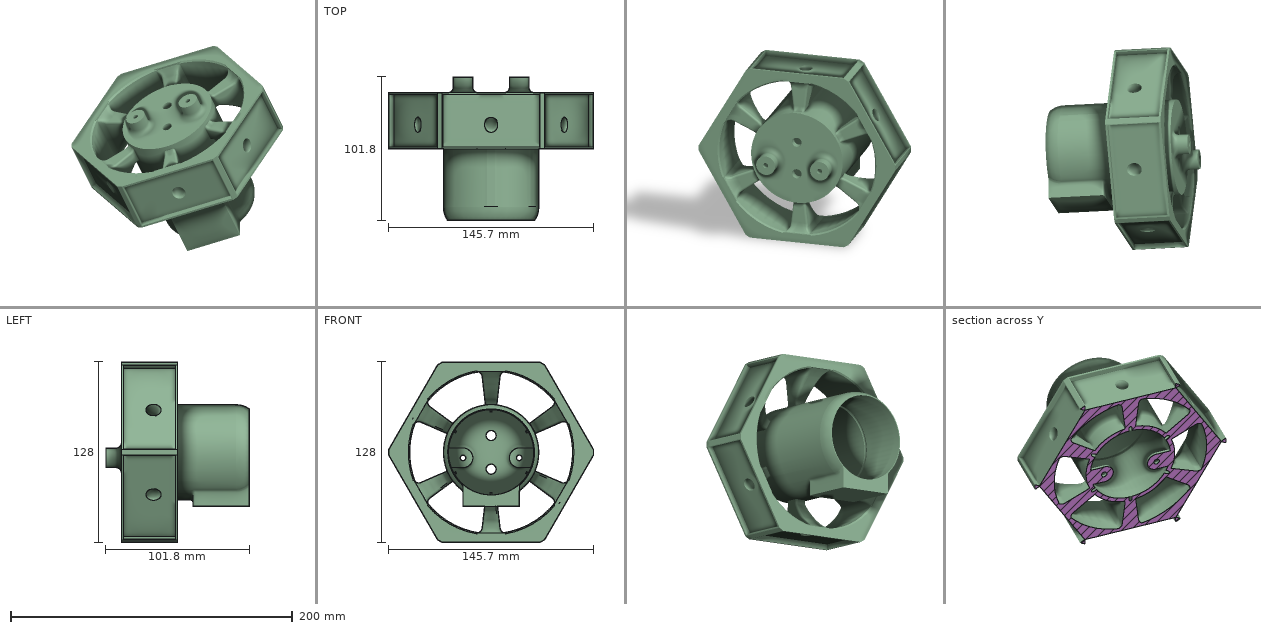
import cadquery as cq
import math


ARMS = 6
RING_FLATS = 128.0
RING_CORNERS = 145.7
RING_DEPTH = 40.0
RING_BORE_RADIUS = 57.8
BORE_CHAMFER = 1.0

RECESS_LENGTH = 68.5
RECESS_MARGIN = 1.5
RECESS_DEPTH = 4.0

BARREL_RADIUS = 34.0
BARREL_LENGTH = 90.9
CUP_RADIUS = 30.3
FLOOR_THICKNESS = 5.0
MOUTH_RADIUS = 30.9
MOUTH_LENGTH = 9.3
GROOVE_START = 50.3
GROOVE_WIDTH = 2.6
GROOVE_DEPTH = 1.7
FLOOR_HOLE_DIAMETER = 7.0
FLOOR_HOLE_OFFSET = 12.0

STRIP_COUNT = 2
STRIP_HALF_WIDTH_TOP = 2.9
STRIP_HALF_WIDTH_BASE = 4.7
STRIP_TOP = 34.1
STRIP_BOTTOM = 32.0
STRIP_END_GAP = 0.6

STRUT_ROOT = 33.2
STRUT_TIP = 57.4
STRUT_EDGE_RADIUS = 1.5
STRUT_PAD_THICKNESS = 2.2
STRUT_HUB_HALF_WIDTH = 4.1
STRUT_RIM_HALF_WIDTH = 6.4
STRUT_FLARE_HALF_WIDTH = 10.2
STRUT_FLARE_START = 53.6
STRUT_FLARE_BULGE_X = 1.09
STRUT_FLARE_BULGE_Z = 2.55
STRUT_RIM_MARGIN = 1.5
STRUT_BACK = -5.2
STRUT_BACK_ROOT_Y = -2.6
STRUT_BACK_MIDDLE = (-4.5, 35.0)
STRUT_BACK_INNER = (STRUT_BACK, 37.6)
STRUT_BACK_OUTER = (STRUT_BACK, 51.0)
STRUT_FRONT_MIDDLE = (-22.6, 45.9)
STRUT_FRONT_INNER = (-16.0, 37.9)
STRUT_FRONT_ROOT_Y = -21.9

DUCT_MOUTH_RADIUS = 4.7
DUCT_TIP_RADIUS = 0.7
DUCT_MOUTH_Y = -22.6
DUCT_TIP_OFFSET = 28.7

PIN_DIAMETER = 14.0
PIN_HOLE_DIAMETER = 3.8
PIN_LENGTH = 10.9
PIN_X = 20.0
PIN_Z = -4.0
PIN_FILLET = 3.6
PAD_HEIGHT = 2.9
PAD_FILLET = 2.2

FOOT_WIDTH = 40.2
FOOT_LENGTH = 40.0
FOOT_BOTTOM = -38.5
FOOT_EDGE_RADIUS = 1.7
FOOT_JOINT_RADIUS = 1.7
JOINT_MARGIN = 0.7
JOINT_LOWEST = -32.3
JOINT_HIGHEST = -24.8

recess_floor = RING_FLATS / 2 - RECESS_DEPTH


def disc(radius, start, depth):
    """Cylinder on the main axis, from Y = -start toward -Y."""
    return cq.Workplane("XZ", origin=(0, -start, 0)).circle(radius).extrude(depth)


def around(shape, count=ARMS):
    """Copies of a feature of the top flat, on successive flats from the top toward +X."""
    return [shape.rotate((0, 0, 0), (0, 1, 0), 360 / ARMS * i) for i in range(count)]


def mirrored(point):
    return (-point[0], point[1])


def make_ring():
    """Hexagonal ring with cut corners, a chamfered bore and a recess in every flat."""
    corner_factor = 1 / math.cos(math.pi / ARMS)
    ring = cq.Workplane("XZ").polygon(ARMS, RING_FLATS * corner_factor).extrude(RING_DEPTH)
    corner_cut = cq.Workplane("XZ").polygon(ARMS, RING_CORNERS * corner_factor).extrude(RING_DEPTH)
    corner_cut = corner_cut.rotate((0, 0, 0), (0, 1, 0), 180 / ARMS)
    ring = ring.intersect(corner_cut).cut(disc(RING_BORE_RADIUS, 0, RING_DEPTH))
    ring = ring.edges("%CIRCLE").chamfer(BORE_CHAMFER)
    recess = cq.Workplane("XY").box(RECESS_LENGTH, RING_DEPTH - 2 * RECESS_MARGIN, 2 * RECESS_DEPTH)
    recess = recess.translate((0, -RING_DEPTH / 2, RING_FLATS / 2))
    for pocket in around(recess):
        ring = ring.cut(pocket)
    return ring


def make_strut():
    """Strut of the top flat: side outline crossed with a tapered plan, on a flat pad at the ring bore."""
    side = (
        cq.Workplane("YZ")
        .moveTo(*STRUT_BACK_INNER)
        .lineTo(*STRUT_BACK_OUTER)
        .tangentArcPoint((-STRUT_RIM_MARGIN, STRUT_TIP), relative=False)
        .lineTo(STRUT_RIM_MARGIN - RING_DEPTH, STRUT_TIP)
        .threePointArc(STRUT_FRONT_MIDDLE, STRUT_FRONT_INNER)
        .tangentArcPoint((STRUT_FRONT_ROOT_Y, STRUT_ROOT), relative=False)
        .lineTo(STRUT_BACK_ROOT_Y, STRUT_ROOT)
        .threePointArc(STRUT_BACK_MIDDLE, STRUT_BACK_INNER)
        .close()
        .extrude(RING_BORE_RADIUS, both=True)
    )
    outer_edge = (STRUT_RIM_HALF_WIDTH, STRUT_FLARE_START)
    flare_middle = (STRUT_RIM_HALF_WIDTH + STRUT_FLARE_BULGE_X, STRUT_FLARE_START + STRUT_FLARE_BULGE_Z)
    plan = (
        cq.Workplane("XZ")
        .moveTo(STRUT_HUB_HALF_WIDTH, STRUT_ROOT)
        .lineTo(*outer_edge)
        .threePointArc(flare_middle, (STRUT_FLARE_HALF_WIDTH, STRUT_TIP))
        .lineTo(-STRUT_FLARE_HALF_WIDTH, STRUT_TIP)
        .threePointArc(mirrored(flare_middle), mirrored(outer_edge))
        .lineTo(-STRUT_HUB_HALF_WIDTH, STRUT_ROOT)
        .close()
        .extrude(RING_DEPTH)
    )
    strut = side.intersect(plan)
    inside = 0.01
    long_edges = [
        edge
        for edge in strut.edges().vals()
        if STRUT_ROOT + inside < edge.Center().z < STRUT_TIP - inside and abs(edge.Center().x) > inside
    ]
    strut = strut.newObject(long_edges).fillet(STRUT_EDGE_RADIUS)
    pad_width = 2 * STRUT_FLARE_HALF_WIDTH
    pad = cq.Workplane("XY").box(pad_width, RING_DEPTH, STRUT_PAD_THICKNESS, centered=(True, True, False))
    return strut.union(pad.translate((0, -RING_DEPTH / 2, STRUT_TIP)))


def make_strip():
    """Low strip with sloped sides along the top of the barrel."""
    base_edge = (STRIP_HALF_WIDTH_BASE, math.sqrt(BARREL_RADIUS**2 - STRIP_HALF_WIDTH_BASE**2))
    return (
        cq.Workplane("XZ")
        .moveTo(-STRIP_HALF_WIDTH_BASE, STRIP_BOTTOM)
        .lineTo(*mirrored(base_edge))
        .lineTo(-STRIP_HALF_WIDTH_TOP, STRIP_TOP)
        .lineTo(STRIP_HALF_WIDTH_TOP, STRIP_TOP)
        .lineTo(*base_edge)
        .lineTo(STRIP_HALF_WIDTH_BASE, STRIP_BOTTOM)
        .close()
        .extrude(BARREL_LENGTH - MOUTH_LENGTH - STRIP_END_GAP)
    )


def make_barrel():
    """Solid barrel whose front end curves in to the mouth."""
    drop = BARREL_RADIUS - MOUTH_RADIUS
    arc_radius = (MOUTH_LENGTH**2 + drop**2) / (2 * drop)
    half_angle = math.asin(MOUTH_LENGTH / arc_radius) / 2
    mouth_start = MOUTH_LENGTH - BARREL_LENGTH
    arc_middle = (
        BARREL_RADIUS - arc_radius * (1 - math.cos(half_angle)),
        mouth_start - arc_radius * math.sin(half_angle),
    )
    return (
        cq.Workplane("XY")
        .lineTo(BARREL_RADIUS, 0)
        .lineTo(BARREL_RADIUS, mouth_start)
        .threePointArc(arc_middle, (MOUTH_RADIUS, -BARREL_LENGTH))
        .lineTo(0, -BARREL_LENGTH)
        .close()
        .revolve(360, (0, 0, 0), (0, 1, 0))
    )


def make_foot():
    foot = cq.Workplane("XY").box(FOOT_WIDTH, FOOT_LENGTH, -FOOT_BOTTOM, centered=(True, False, False))
    foot = foot.translate((0, -BARREL_LENGTH, FOOT_BOTTOM))
    return foot.edges("|Z and >Y").fillet(FOOT_EDGE_RADIUS)


def join_foot(barrel, foot):
    """Union of barrel and foot with a concave fillet along their joint."""
    half_width = FOOT_WIDTH / 2 + JOINT_MARGIN
    foot_back = FOOT_LENGTH - BARREL_LENGTH
    joint = cq.selectors.BoxSelector(
        (-half_width, JOINT_MARGIN - BARREL_LENGTH, JOINT_LOWEST),
        (half_width, foot_back + JOINT_MARGIN, JOINT_HIGHEST),
    )
    return barrel.union(foot).edges(joint).fillet(FOOT_JOINT_RADIUS)


def flared_post(base_y, height, fillet, direction):
    """Round post standing on the plane Y = base_y, with a concave fillet at its base."""
    radius = PIN_DIAMETER / 2
    bend = fillet * (1 - math.sqrt(0.5))
    return (
        cq.Workplane("XY")
        .lineTo(radius + fillet, 0)
        .threePointArc((radius + bend, direction * bend), (radius, direction * fillet))
        .lineTo(radius, direction * height)
        .lineTo(0, direction * height)
        .close()
        .revolve(360, (0, 0, 0), (0, 1, 0))
        .translate((0, base_y, PIN_Z))
    )


def make_pad(side):
    """Pad on the cup floor: a flared post joined to the cup wall by a straight block."""
    post = flared_post(-FLOOR_THICKNESS, PAD_HEIGHT, PAD_FILLET, -1).translate((side * PIN_X, 0, 0))
    reach = BARREL_RADIUS - PIN_X
    block = cq.Workplane("XY").box(reach, PAD_HEIGHT, PIN_DIAMETER)
    block = block.translate((side * (PIN_X + reach / 2), -FLOOR_THICKNESS - PAD_HEIGHT / 2, PIN_Z))
    return post.union(block).intersect(disc((BARREL_RADIUS + CUP_RADIUS) / 2, 0, BARREL_LENGTH))


def make_duct():
    """Cone sloping from the recess floor of the top flat back to the cup floor."""
    rise = recess_floor - DUCT_TIP_OFFSET
    run = DUCT_MOUTH_Y + FLOOR_THICKNESS
    length = math.hypot(rise, run)
    taper = (DUCT_MOUTH_RADIUS - DUCT_TIP_RADIUS) / length
    lead = RECESS_DEPTH
    direction = cq.Vector(0, -run, -rise) / length
    start = cq.Vector(0, DUCT_MOUTH_Y, recess_floor) - direction * lead
    mouth = DUCT_MOUTH_RADIUS + taper * lead
    return cq.Workplane(cq.Solid.makeCone(mouth, DUCT_TIP_RADIUS, length + lead, start, direction))


body = join_foot(make_barrel(), make_foot())
for strip in around(make_strip(), STRIP_COUNT):
    body = body.union(strip)
for strut in around(make_strut()):
    body = body.union(strut)
body = body.union(make_ring())

body = body.cut(disc(CUP_RADIUS, FLOOR_THICKNESS, BARREL_LENGTH))
body = body.cut(disc(CUP_RADIUS + GROOVE_DEPTH, GROOVE_START, GROOVE_WIDTH))

for side in (-1, 1):
    pin = flared_post(0, PIN_LENGTH, PIN_FILLET, 1).translate((side * PIN_X, 0, 0))
    body = body.union(pin).union(make_pad(side))

for duct in around(make_duct()):
    body = body.cut(duct)

pin_holes = cq.Workplane("XZ", origin=(0, PIN_LENGTH, 0))
pin_holes = pin_holes.pushPoints([(-PIN_X, PIN_Z), (PIN_X, PIN_Z)]).circle(PIN_HOLE_DIAMETER / 2)
floor_holes = cq.Workplane("XZ").pushPoints([(0, -FLOOR_HOLE_OFFSET), (0, FLOOR_HOLE_OFFSET)])
floor_holes = floor_holes.circle(FLOOR_HOLE_DIAMETER / 2)
through = PIN_LENGTH + RING_DEPTH
result = body.cut(pin_holes.extrude(through)).cut(floor_holes.extrude(through))